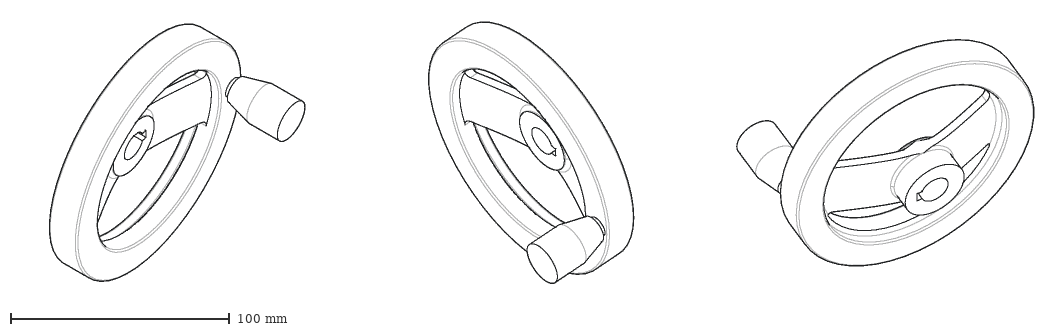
import cadquery as cq
import math

rim_diameter = 125.0
rim_width = 16.2
rim_bore_diameter = 96.4
rim_edge_radius = 0.9

hub_diameter = 31.0
hub_front = -17.3
hub_back = 1.5
hub_fillet = 1.7
shaft_diameter = 14.1
key_width = 5.0
key_reach = 9.2

web_slope = math.tan(math.radians(22.5))
web_front_at_hub = -6.0
web_thickness = 4.4
web_fillet = 1.7
selection_margin = 0.1
window_diameter = 92.5
arm_width = hub_diameter
window_corner_radius = 2.3

handle_offset = 55.3
pin_diameter = 10.1
grip_diameter = 21.0
grip_neck_diameter = 13.6
grip_start = 18.5
grip_cone_end = 32.5
grip_cylinder_end = 49.9
grip_end = 52.4

rim_radius = rim_diameter / 2
rim_bore_radius = rim_bore_diameter / 2
hub_radius = hub_diameter / 2
web_front_at_rim = web_front_at_hub + web_slope * (rim_bore_radius - hub_radius)
web_back_at_hub = web_front_at_hub + web_thickness
window_radius = window_diameter / 2
web_back_at_rim = web_back_at_hub + web_slope * (window_radius - hub_radius)


def round_circle(body, x, radius):
    """Fillet the circular edge whose centre is at x on the wheel axis."""
    return body.edges(cq.NearestToPointSelector((x, 0, 0))).fillet(radius)


def make_wheel_blank():
    """Hub, dished web and rim as one revolved body with rounded corners."""
    blank = (
        cq.Workplane("XY")
        .moveTo(hub_front, 0)
        .lineTo(hub_front, hub_radius)
        .lineTo(web_front_at_hub, hub_radius)
        .lineTo(web_front_at_rim, rim_bore_radius)
        .lineTo(0, rim_bore_radius)
        .lineTo(0, rim_radius)
        .lineTo(rim_width, rim_radius)
        .lineTo(rim_width, window_radius)
        .lineTo(web_back_at_rim, window_radius)
        .lineTo(web_back_at_hub, hub_radius)
        .lineTo(hub_back, hub_radius)
        .lineTo(hub_back, 0)
        .close()
        .revolve(360, (0, 0, 0), (1, 0, 0))
    )
    for x in (web_front_at_hub, web_back_at_hub):
        blank = round_circle(blank, x, hub_fillet)
    blank = round_circle(blank, web_front_at_rim, web_fillet)
    for x in (0, rim_width):
        rim_edges = cq.selectors.BoxSelector(
            (x - selection_margin, -selection_margin, -selection_margin),
            (x + selection_margin, selection_margin, selection_margin),
        )
        blank = blank.edges(rim_edges).fillet(rim_edge_radius)
    return blank


def make_windows():
    """Two circular segments above and below the arms, with rounded corners."""
    disc = cq.Workplane("YZ", origin=(hub_front, 0, 0)).circle(window_radius)
    disc = disc.extrude(rim_width - hub_front)
    arms = cq.Workplane("XY").box(4 * rim_width, rim_diameter, arm_width)
    return disc.cut(arms).edges("|X").fillet(window_corner_radius)


def make_shaft_hole():
    """Through bore with a keyway on the +Y side."""
    length = hub_back - hub_front
    plane = cq.Workplane("YZ", origin=(hub_front, 0, 0))
    bore = plane.circle(shaft_diameter / 2).extrude(length)
    keyway = plane.center(key_reach / 2, 0).rect(key_reach, key_width).extrude(length)
    return bore.union(keyway)


def make_handle():
    """Pin and domed grip, turned about an axis parallel to X."""
    pin_radius = pin_diameter / 2
    grip_radius = grip_diameter / 2
    dome_height = grip_end - grip_cylinder_end
    dome_radius = (grip_radius**2 + dome_height**2) / (2 * dome_height)
    pin_start = rim_width / 2
    return (
        cq.Workplane("XY", origin=(0, handle_offset, 0))
        .moveTo(pin_start, 0)
        .lineTo(pin_start, pin_radius)
        .lineTo(grip_start, pin_radius)
        .lineTo(grip_start, grip_neck_diameter / 2)
        .lineTo(grip_cone_end, grip_radius)
        .lineTo(grip_cylinder_end, grip_radius)
        .radiusArc((grip_end, 0), dome_radius)
        .close()
        .revolve(360, (0, 0, 0), (1, 0, 0))
    )


wheel = make_wheel_blank().cut(make_windows()).cut(make_shaft_hole())
result = wheel.union(make_handle())